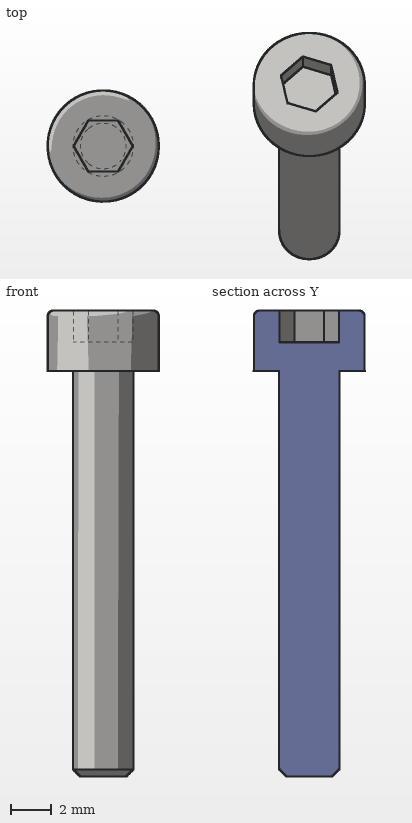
import cadquery as cq
import math

total_length = 23.0
head_diameter = 5.5
head_height = 3.0
shank_diameter = 3.0

head_fillet = 0.3
tip_chamfer = 0.37
socket_across_flats = 2.53
socket_depth = 1.56

shank_length = total_length - head_height


def make_shank():
    """Plain shank from z = 0 upward, chamfered at its lower tip."""
    shank = cq.Workplane("XY").circle(shank_diameter / 2).extrude(shank_length)
    return shank.faces("<Z").edges().chamfer(tip_chamfer)


def make_head():
    """Cylindrical head with a rounded top rim."""
    head = (
        cq.Workplane("XY", origin=(0, 0, shank_length))
        .circle(head_diameter / 2)
        .extrude(head_height)
    )
    return head.faces(">Z").edges().fillet(head_fillet)


def make_socket():
    """Hexagonal drive socket with corners on the X axis."""
    across_corners = socket_across_flats / math.cos(math.pi / 6)
    return (
        cq.Workplane("XY", origin=(0, 0, total_length))
        .polygon(6, across_corners)
        .extrude(-socket_depth)
    )


result = make_shank().union(make_head()).cut(make_socket())